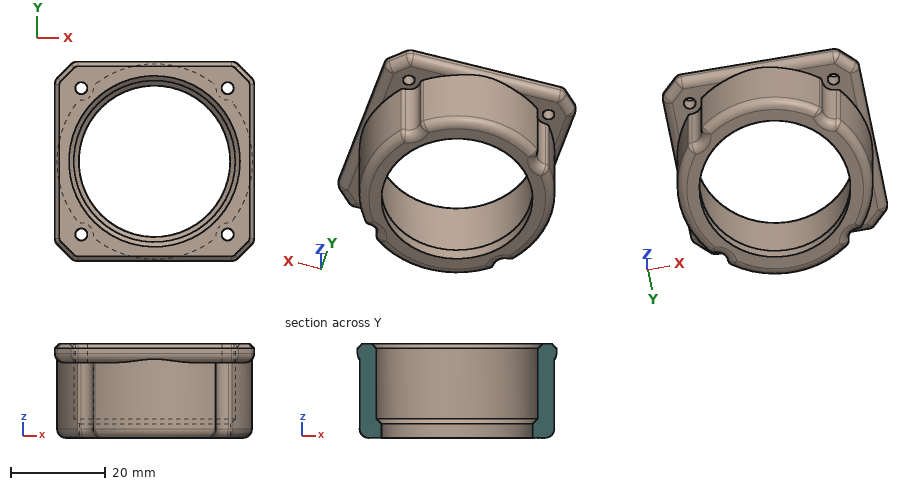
import cadquery as cq

flange_width = 42.3
height = 20.0

flange_thickness = 4.0
corner_cut = 4.0
corner_round = 2.0
top_chamfer = 1.0
flange_bottom_fillet = 2.0

body_diameter = 41.4
body_bottom_fillet = 2.0

bore_diameter = 34.2
lip_diameter = 32.0
lip_height = 3.0
lip_cone_height = (bore_diameter - lip_diameter) / 2

hole_diameter = 2.5
hole_spacing = 31.0
notch_radius = 2.5
notch_mouth_fillet = 1.0

flange_bottom = height - flange_thickness
hole_offset = hole_spacing / 2
hole_centres = [(x, y) for x in (-hole_offset, hole_offset) for y in (-hole_offset, hole_offset)]


def make_flange():
    """Square plate with cut and rounded corners, chamfered above, filleted below."""
    plate = (
        cq.Workplane("XY", origin=(0, 0, flange_bottom))
        .rect(flange_width, flange_width)
        .extrude(flange_thickness)
    )
    plate = plate.edges("|Z").chamfer(corner_cut)
    plate = plate.edges("|Z").fillet(corner_round)
    plate = plate.faces(">Z").edges().chamfer(top_chamfer)
    return plate.faces("<Z").edges().fillet(flange_bottom_fillet)


def make_body():
    """Cylinder with four rounded screw notches and a rounded bottom edge."""
    body_height = flange_bottom + flange_bottom_fillet
    notches = cq.Workplane("XY").pushPoints(hole_centres).circle(notch_radius).extrude(body_height)
    body = cq.Workplane("XY").circle(body_diameter / 2).extrude(body_height).cut(notches)
    notch_mouths = [edge for edge in body.edges("|Z").vals() if abs(edge.Center().y) > notch_radius]
    body = body.newObject(notch_mouths).fillet(notch_mouth_fillet)
    return body.faces("<Z").edges().fillet(body_bottom_fillet)


def make_bore():
    """Revolved bore: narrow lip, conical seat, main bore and top chamfer."""
    lip_radius = lip_diameter / 2
    bore_radius = bore_diameter / 2
    return (
        cq.Workplane("XZ")
        .moveTo(0, 0)
        .lineTo(lip_radius, 0)
        .lineTo(lip_radius, lip_height)
        .lineTo(bore_radius, lip_height + lip_cone_height)
        .lineTo(bore_radius, height - top_chamfer)
        .lineTo(bore_radius + top_chamfer, height)
        .lineTo(0, height)
        .close()
        .revolve(360, (0, 0, 0), (0, 1, 0))
    )


def make_screw_holes():
    """Four through holes in the flange."""
    return (
        cq.Workplane("XY", origin=(0, 0, flange_bottom))
        .pushPoints(hole_centres)
        .circle(hole_diameter / 2)
        .extrude(flange_thickness)
    )


result = make_flange().union(make_body()).cut(make_bore()).cut(make_screw_holes())